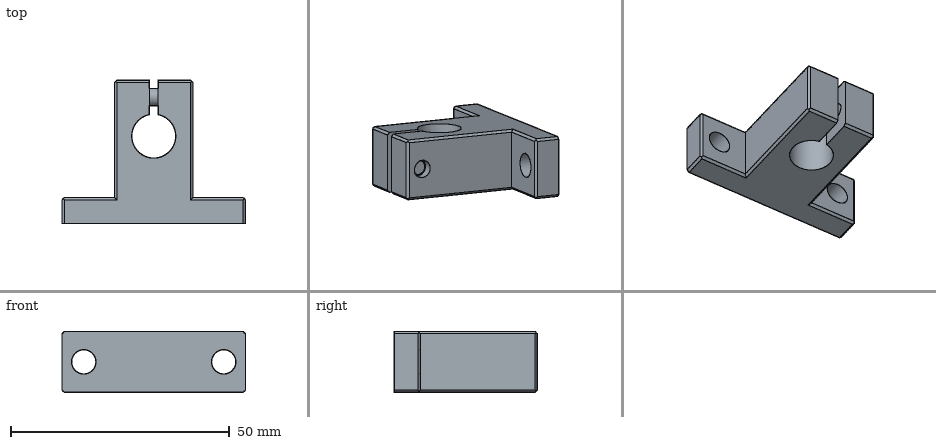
import cadquery as cq

base_length = 42.0
base_thickness = 6.0
total_depth = 32.8
height = 14.0
stem_width = 18.0
edge_chamfer = 0.56
mid_height = height / 2

mount_hole_diameter = 5.5
mount_hole_spacing = 32.0

bore_diameter = 10.0
bore_center_y = 20.0
slit_width = 2.0

screw_diameter = 4.0
screw_y = (bore_center_y + bore_diameter / 2 + total_depth) / 2
screw_tip_chamfer = 0.37
screw_tip_recess = 2.0


def make_block(width, depth):
    """Block on the mounting face, chamfered on every edge off that face.

    Each direction of edges is chamfered separately and the results are intersected,
    so the chamfer planes meet in sharp mitres at the corners.
    """
    block = cq.Workplane("XY").box(width, depth, height, centered=(True, False, False))
    mitred = block
    for direction in ("|X", "|Y", "|Z"):
        mitred = mitred.intersect(block.edges("not <Y").edges(direction).chamfer(edge_chamfer))
    return mitred


def make_mounting_holes():
    """Two plain cylinders that pass through the base along Y."""
    return (
        cq.Workplane("XZ", origin=(0, 0, mid_height))
        .rarray(mount_hole_spacing, 1, 2, 1)
        .circle(mount_hole_diameter / 2)
        .extrude(-base_thickness)
    )


def make_bore_and_slit():
    """Vertical shaft bore joined to the end of the stem by a slit."""
    bore = (
        cq.Workplane("XY", origin=(0, bore_center_y, 0))
        .circle(bore_diameter / 2)
        .extrude(height)
    )
    slit = cq.Workplane("XY", origin=(0, bore_center_y, 0)).box(
        slit_width, total_depth - bore_center_y, height, centered=(True, False, False)
    )
    return bore.union(slit)


def make_screw_cylinder(start_x, end_x):
    """Cylinder of the clamp screw diameter along X."""
    return (
        cq.Workplane("YZ", origin=(start_x, screw_y, mid_height))
        .circle(screw_diameter / 2)
        .extrude(end_x - start_x)
    )


def add_clamp_screw(bracket):
    """Screw across the slit, its chamfered tip recessed in the -X side of the stem."""
    stem_side = stem_width / 2
    screw_hole = make_screw_cylinder(-stem_side, 0)
    screw = make_screw_cylinder(screw_tip_recess - stem_side, stem_side)
    screw = screw.faces("<X").chamfer(screw_tip_chamfer)
    return bracket.cut(screw_hole).union(screw)


base = make_block(base_length, base_thickness)
stem = make_block(stem_width, total_depth)
bracket = base.union(stem).cut(make_mounting_holes()).cut(make_bore_and_slit())
result = add_clamp_screw(bracket)